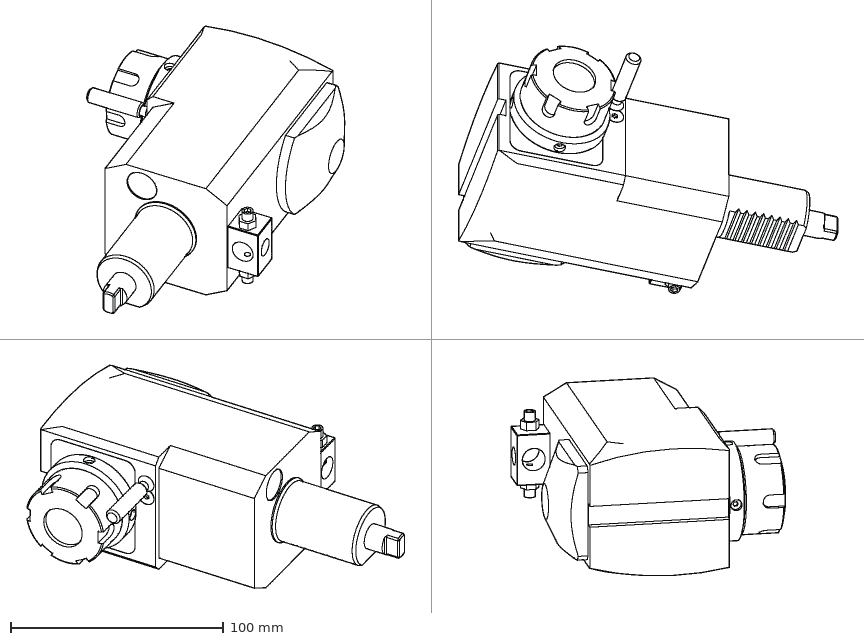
import cadquery as cq
import math


half_size = 32.0
housing_length = 114.0
side_chamfer_x = 11.0
side_chamfer_z = side_chamfer_x * math.tan(math.radians(30))
head_left = -35.2
head_start = 51.5
head_chamfer = 3.2
back_edge_chamfer = 0.5

crown_radius = 144.3
crown_height = 31.2
crown_x = -8.6
crown_angle = 15.0

key_slot_width = 10.2
key_slot_depth = 3.9

seat_x = -12.7
seat_z = 21.8
seat_radius = 7.7
seat_depth = 0.7

shank_radius = 15.0
shank_length = 44.9
shank_chamfer_length = 1.5
shank_chamfer = 0.7
shoulder_radius = 16.0
shoulder_rim = 0.7
shoulder_length = 2.0
flat_start = 7.0
flat_depth = 11.8
tooth_count = 8
tooth_pitch = 4.0
tooth_depth = 1.2
first_tooth = 11.0

drive_radius = 6.2
drive_end = 176 - housing_length
tang_start = 54.5
tang_thickness = 6.2
tang_chamfer = 0.7
tang_root = 0.7

spindle_y = 85.0
nut_face = -64.8
nut_cone_end = -62.7
nut_end = -44.2
nut_radius = 21.0
nut_face_radius = 14.8
nut_rim_x = -63.2
nut_rim_radius = 20.2
nut_edge_chamfer = 0.5
nut_bore_radius = 10.4
nut_bore_depth = 2.1
nut_slot_count = 6
nut_slot_width = 6.5
upper_slot_end = -50.9
other_slot_end = -52.8
nut_slot_floor = 18.3
neck_radius = 16.5
collar_start = -43.1
collar_end = -36.3
collar_radius = 23.5
relief_radius = 22.5
collar_hole_count = 4
collar_hole_x = -39.5
collar_hole_radius = 2.6
collar_hole_depth = 2.1
socket_radius = 1.2
socket_depth = 1.4

panel_near = 62.7
panel_far = 108.0
panel_half_height = 26.4
panel_corner_radius = 5.3
flush_depth = 0.2
side_port_y = 56.7
plug_z = 9.5
plug_radius = 4.2
plug_socket_radius = 1.4

pin_z = 17.0
pin_tip = -68.0
pin_end = -40.3
pin_radius = 3.7
pin_tip_chamfer = 1.0
pin_end_chamfer = 0.7
pin_neck_radius = 2.5
pin_neck_end = -37.3
pin_base_radius = 4.2

cap_radius = 32.0
cap_rim_x = 36.8
cap_face_x = 47.9
cap_face_radius = 8.5
cap_back_reach = 24.6
cap_half_height = 23.0
cap_bevel_x = 37.5
cap_bevel_angle = 22.0

block_near = 0.9
block_far = 16.2
block_half_height = 12.5
block_end_x = cap_face_x
block_chamfer = 0.4
block_bore_x = 39.8
block_bore_radius = 5.5
block_outlet_radius = 4.2
fitting_y = 6.2
fitting_nut_top = 16.5
fitting_nut_size = 9.0
fitting_radius = 2.6
fitting_top = 21.0
fitting_bore_radius = 1.4
fitting_tip_wall = 0.7
fitting_socket_radius = 1.8
fitting_socket_depth = 1.8


def box(x0, x1, y0, y1, z0, z1):
    return cq.Workplane("XY").box(x1 - x0, y1 - y0, z1 - z0, centered=False).translate((x0, y0, z0))


def turned_x(profile, y, z):
    """Turn (x, radius) points about an axis along X through the given Y and Z."""
    outline = cq.Workplane("XY").polyline(profile).close()
    return outline.revolve(360, (0, 0, 0), (1, 0, 0)).translate((0, y, z))


def turned_y(profile):
    """Turn (radius, y) points about the Y axis."""
    return cq.Workplane("XY").polyline(profile).close().revolve(360, (0, 0, 0), (0, 1, 0))


def rod(radius, start, direction, length):
    return cq.Workplane(cq.Solid.makeCylinder(radius, length, cq.Vector(*start), cq.Vector(*direction)))


def hexagon_rod(radius, start, direction, length, across):
    """Hexagonal rod with a corner pointing along the direction `across`."""
    plane = cq.Plane(origin=start, xDir=across, normal=direction)
    return cq.Workplane(plane).polygon(6, 2 * radius).extrude(length)


def octagon_section(left, chamfer_x_left, chamfer_z_left, y0, y1):
    """Housing section with its four corners cut off, from y0 to y1."""
    right = half_size
    upper = [
        (left, half_size - chamfer_z_left),
        (left + chamfer_x_left, half_size),
        (right - side_chamfer_x, half_size),
        (right, half_size - side_chamfer_z),
    ]
    lower = [(x, -z) for x, z in reversed(upper)]
    section = cq.Workplane("XZ").polyline(upper + lower).close()
    return section.extrude(y0 - y1).translate((0, y0, 0))


def make_crown_envelope():
    """Overlap of the two wide cones that crown the housing, above and below."""
    front_radius = crown_radius + housing_length * math.tan(math.radians(crown_angle))
    cone = cq.Solid.makeCone(
        front_radius, crown_radius, housing_length, cq.Vector(0, 0, 0), cq.Vector(0, 1, 0)
    )
    drop = crown_radius - crown_height
    upper = cq.Workplane(cone).translate((crown_x, 0, -drop))
    lower = cq.Workplane(cone).translate((crown_x, 0, drop))
    return upper.intersect(lower)


def make_housing():
    body = octagon_section(-half_size, side_chamfer_x, side_chamfer_z, 0, head_start)
    head = octagon_section(head_left, head_chamfer, head_chamfer, head_start, housing_length)
    head = head.edges("<X and >Y").chamfer(back_edge_chamfer)
    housing = body.union(head).intersect(make_crown_envelope())
    key_slot = box(
        head_left, half_size, housing_length - key_slot_depth, housing_length,
        -key_slot_width / 2, key_slot_width / 2,
    )
    seat = rod(seat_radius, (seat_x, 0, seat_z), (0, 1, 0), seat_depth)
    return housing.cut(key_slot).cut(seat)


def make_shank():
    shank = turned_y([
        (0, 0),
        (shoulder_radius, 0),
        (shoulder_radius, -shoulder_rim),
        (shank_radius, -shoulder_length),
        (shank_radius, shank_chamfer_length - shank_length),
        (shank_radius - shank_chamfer, -shank_length),
        (0, -shank_length),
    ])
    flat = box(
        -shank_radius, shank_radius, -shank_length, -flat_start, -shank_radius, -flat_depth
    )
    shank = shank.cut(flat)
    for i in range(tooth_count):
        y = -first_tooth - i * tooth_pitch
        groove = (
            cq.Workplane("YZ")
            .polyline([
                (y - tooth_depth, -flat_depth),
                (y, tooth_depth - flat_depth),
                (y + tooth_depth, -flat_depth),
            ])
            .close()
            .extrude(shank_radius, both=True)
        )
        shank = shank.cut(groove)
    return shank


def make_drive():
    drive = rod(drive_radius, (0, -shank_length, 0), (0, -1, 0), tang_start - shank_length)
    tang = rod(drive_radius, (0, -tang_start, 0), (0, -1, 0), drive_end - tang_start)
    slab = box(
        -tang_thickness / 2, tang_thickness / 2, -drive_end, -tang_start, -drive_radius, drive_radius
    )
    tang = tang.intersect(slab).edges("not >Y").chamfer(tang_chamfer)
    tang_half = tang_thickness / 2
    root = (
        cq.Workplane("XY")
        .polyline([
            (-tang_half - tang_root, -tang_start),
            (tang_half + tang_root, -tang_start),
            (tang_half, -tang_start - tang_root),
            (-tang_half, -tang_start - tang_root),
        ])
        .close()
        .extrude(drive_radius, both=True)
        .intersect(rod(drive_radius, (0, -tang_start, 0), (0, -1, 0), tang_root))
    )
    return drive.union(tang).union(root)


def make_nut_slot(end):
    """Round-ended spanner slot on the +Z side of a nut whose axis is X."""
    arc_x = end - nut_slot_width / 2
    height = nut_radius - nut_slot_floor
    straight = box(nut_face, arc_x, -nut_slot_width / 2, nut_slot_width / 2, nut_slot_floor, nut_radius)
    return straight.union(rod(nut_slot_width / 2, (arc_x, 0, nut_slot_floor), (0, 0, 1), height))


def make_spindle_nose():
    nose = turned_x([
        (nut_face, 0),
        (nut_face, nut_face_radius),
        (nut_rim_x, nut_rim_radius),
        (nut_cone_end, nut_radius),
        (nut_end - nut_edge_chamfer, nut_radius),
        (nut_end, nut_radius - nut_edge_chamfer),
        (nut_end, neck_radius),
        (collar_start, neck_radius),
        (collar_start, collar_radius),
        (collar_end, collar_radius),
        (collar_end, relief_radius),
        (head_left, relief_radius),
        (head_left, 0),
    ], spindle_y, 0)
    nose = nose.cut(rod(nut_bore_radius, (nut_face, spindle_y, 0), (1, 0, 0), nut_bore_depth))

    slot_step = 360 / nut_slot_count
    for i in range(nut_slot_count):
        angle = (i + 0.5) * slot_step
        faces_up = angle < slot_step or angle > 360 - slot_step
        slot = make_nut_slot(upper_slot_end if faces_up else other_slot_end)
        nose = nose.cut(slot.rotate((0, 0, 0), (1, 0, 0), angle).translate((0, spindle_y, 0)))

    hole_floor = collar_radius - collar_hole_depth
    hole = rod(collar_hole_radius, (collar_hole_x, 0, hole_floor), (0, 0, 1), collar_hole_depth)
    socket = hexagon_rod(socket_radius, (collar_hole_x, 0, hole_floor), (0, 0, -1), socket_depth, (1, 0, 0))
    screw_hole = hole.union(socket)
    for i in range(collar_hole_count):
        angle = i * 360 / collar_hole_count
        nose = nose.cut(screw_hole.rotate((0, 0, 0), (1, 0, 0), angle).translate((0, spindle_y, 0)))
    return nose


def make_flush_recesses():
    """Shallow outlines of the insert behind the nut and of the plug below the pin."""
    panel = box(
        head_left, head_left + flush_depth, panel_near, panel_far, -panel_half_height, panel_half_height
    ).edges("|X").fillet(panel_corner_radius)
    panel = panel.cut(rod(relief_radius, (head_left, spindle_y, 0), (1, 0, 0), flush_depth))
    plug_center = (head_left, side_port_y, plug_z)
    plug = rod(plug_radius, plug_center, (1, 0, 0), flush_depth)
    plug_socket = hexagon_rod(plug_socket_radius, plug_center, (1, 0, 0), socket_depth, (0, 0, 1))
    return panel.union(plug).union(plug_socket)


def make_pin():
    return turned_x([
        (pin_tip, 0),
        (pin_tip, pin_radius - pin_tip_chamfer),
        (pin_tip + pin_tip_chamfer, pin_radius),
        (pin_end - pin_end_chamfer, pin_radius),
        (pin_end, pin_radius - pin_end_chamfer),
        (pin_end, pin_neck_radius),
        (pin_neck_end, pin_neck_radius),
        (head_left, pin_base_radius),
        (head_left + flush_depth, pin_base_radius),
        (head_left + flush_depth, 0),
    ], side_port_y, pin_z)


def make_cap():
    disc = turned_x([
        (half_size, 0),
        (half_size, cap_radius),
        (cap_rim_x, cap_radius),
        (cap_face_x, cap_face_radius),
        (cap_face_x, 0),
    ], spindle_y, 0)
    bevel_drop = (cap_face_x - cap_bevel_x) * math.tan(math.radians(cap_bevel_angle))
    upper = [
        (half_size, cap_half_height),
        (cap_bevel_x, cap_half_height),
        (cap_face_x, cap_half_height - bevel_drop),
    ]
    lower = [(x, -z) for x, z in reversed(upper)]
    depth = cap_radius + cap_back_reach
    envelope = cq.Workplane("XZ").polyline(upper + lower).close().extrude(depth)
    return disc.intersect(envelope.translate((0, spindle_y + cap_back_reach, 0)))


def make_coolant_block():
    block = box(
        half_size, block_end_x, block_near, block_far, -block_half_height, block_half_height
    ).edges("not <X").chamfer(block_chamfer)
    for up in (1, -1):
        start = (block_bore_x, fitting_y, up * block_half_height)
        direction = (0, 0, up)
        nut_height = fitting_nut_top - block_half_height
        stem_height = fitting_top - block_half_height
        block = block.union(hexagon_rod(fitting_nut_size / 2, start, direction, nut_height, (1, 0, 0)))
        block = block.union(rod(fitting_radius, start, direction, stem_height))
    bore_length = block_far - block_near
    block = block.cut(rod(block_bore_radius, (block_bore_x, block_near, 0), (0, 1, 0), bore_length))
    channel_end = fitting_top - fitting_socket_depth - fitting_tip_wall
    channel_start = (block_bore_x, fitting_y, -channel_end)
    block = block.cut(rod(fitting_bore_radius, channel_start, (0, 0, 1), 2 * channel_end))
    for up in (1, -1):
        tip = (block_bore_x, fitting_y, up * fitting_top)
        socket = hexagon_rod(fitting_socket_radius, tip, (0, 0, -up), fitting_socket_depth, (1, 0, 0))
        block = block.cut(socket)
    outlet_start = (block_bore_x, (block_near + block_far) / 2, 0)
    outlet = rod(block_outlet_radius, outlet_start, (1, 0, 0), block_end_x - block_bore_x)
    return block.cut(outlet)


result = make_housing().cut(make_flush_recesses())
for part in (
    make_shank(),
    make_drive(),
    make_spindle_nose(),
    make_pin(),
    make_cap(),
    make_coolant_block(),
):
    result = result.union(part)